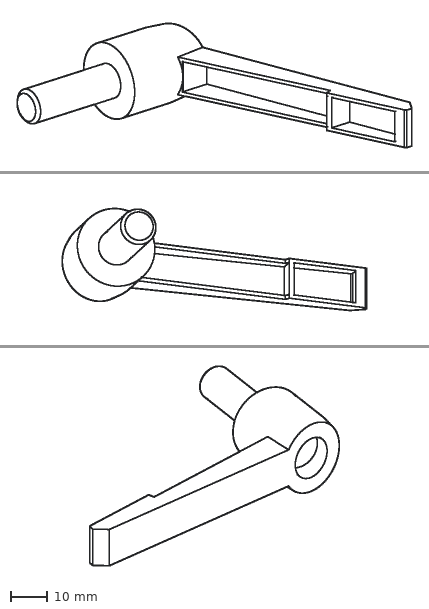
import cadquery as cq
import math

stud_diameter = 10.0
stud_length = 30.0
stud_chamfer = 1.0
hub_diameter = 22.0
hub_length = 17.5
hub_draft = 5.0
recess_diameter = 12.0
hub_radius = hub_diameter / 2
hub_shoulder = stud_length + hub_length

total_height = 75.0
total_length = 91.0
arm_width = 11.3
arm_root = 7.3
top_angle = 15.0
under_angle = 20.0
peak_x = 76.2
tip_low = 70.7
tip_high = 72.5
tip_bevel = 0.55
step_x = 55.3
step_y = 63.6
step_depth = 2.0
tip_x = total_length - hub_radius

wall = 1.1
root_pocket_start = 10.8
root_pocket_end = 56.1
tip_pocket_start = 57.5
tip_pocket_end = 76.5
end_bevel = 0.5

top_slope = math.tan(math.radians(top_angle))
under_slope = math.tan(math.radians(under_angle))
tip_slope = (total_height - tip_high) / (tip_x - peak_x)


def top_y(x):
    """Height of the sloping top face."""
    return total_height - (peak_x - x) * top_slope


def floor_y(x):
    """Height of the pocket floors, one wall thickness below the top face."""
    return top_y(x) - wall / math.cos(math.radians(top_angle))


def under_y(x):
    """Height of the underside between the hub and the step."""
    return step_y - (step_x - x) * under_slope


def centered_plate(points, width):
    """Prism of an XY outline, centred on Z = 0."""
    return cq.Workplane("XY").polyline(points).close().extrude(width / 2, both=True)


def make_hub():
    taper_height = total_height - hub_shoulder
    taper_radius = hub_radius - taper_height * math.tan(math.radians(hub_draft))
    body = (
        cq.Workplane("XY")
        .polyline([
            (0, stud_length),
            (hub_radius, stud_length),
            (hub_radius, hub_shoulder),
            (taper_radius, total_height),
            (0, total_height),
        ])
        .close()
        .revolve(360, (0, 0), (0, 1))
    )
    above_top = centered_plate([
        (-hub_diameter, top_y(-hub_diameter)),
        (hub_diameter, top_y(hub_diameter)),
        (hub_diameter, 2 * total_height),
        (-hub_diameter, 2 * total_height),
    ], 2 * hub_diameter)
    recess = (
        cq.Workplane("XZ", origin=(0, hub_shoulder, 0))
        .circle(recess_diameter / 2)
        .extrude(-taper_height)
    )
    return body.cut(above_top).cut(recess)


def make_stud():
    return (
        cq.Workplane("XZ")
        .circle(stud_diameter / 2)
        .extrude(-stud_length)
        .faces("<Y")
        .chamfer(stud_chamfer)
    )


def make_arm():
    step_outer_x = step_x + step_depth * math.sin(math.radians(under_angle))
    step_outer_y = step_y - step_depth * math.cos(math.radians(under_angle))
    bevel_start_x = tip_x - tip_bevel
    bevel_start_y = step_outer_y + (bevel_start_x - step_outer_x) * under_slope
    arm = centered_plate([
        (arm_root, under_y(arm_root)),
        (step_x, step_y),
        (step_outer_x, step_outer_y),
        (bevel_start_x, bevel_start_y),
        (tip_x, tip_low),
        (tip_x, tip_high),
        (peak_x, total_height),
        (arm_root, top_y(arm_root)),
    ], arm_width)

    pocket_width = arm_width - 2 * wall
    root_pocket = centered_plate([
        (root_pocket_start, hub_shoulder),
        (root_pocket_end, hub_shoulder),
        (root_pocket_end, floor_y(root_pocket_end)),
        (root_pocket_start, floor_y(root_pocket_start)),
    ], pocket_width)
    bevel_x = tip_pocket_end - end_bevel
    tip_pocket = centered_plate([
        (tip_pocket_start, hub_shoulder),
        (tip_pocket_end, hub_shoulder),
        (tip_pocket_end, floor_y(bevel_x) - end_bevel * tip_slope),
        (bevel_x, floor_y(bevel_x)),
        (tip_pocket_start, floor_y(tip_pocket_start)),
    ], pocket_width)
    return arm.cut(root_pocket).cut(tip_pocket)


result = make_hub().union(make_stud()).union(make_arm())